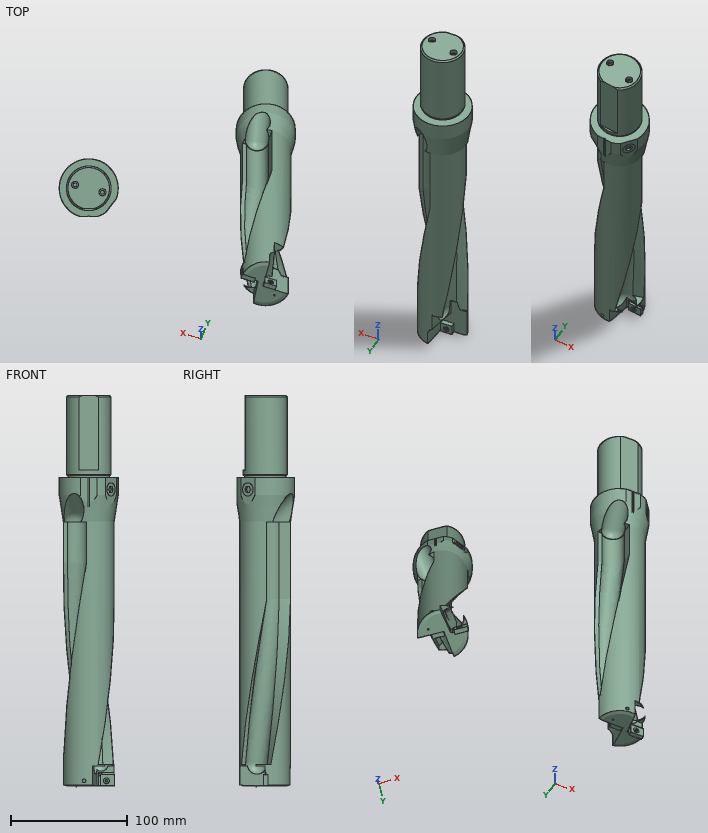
import cadquery as cq
import math


total_length = 335.5
shank_flat_bottom = 271.5
shank_bottom = 266.7
flange_top = 265.5
flange_bottom = 250.0
cone_bottom = 227.0
tip_face = 1.0

shank_radius = 19.0
neck_radius = 17.8
flange_radius = 50.5 / 2
body_radius = 21.8
shank_top_chamfer = 1.5
shank_bottom_chamfer = 1.0
tip_chamfer_width = 3.5
tip_chamfer_height = 1.0
point_place = (-10.7, -7.7)
point_radius = 0.7

shank_flat_distance = 17.0
flange_flat_depth = 1.0
flange_flat_distance = flange_radius - flange_flat_depth
plug_flat_distance = 24.0
plug_flat_angle = -38.0
groove_width = 1.5
groove_floor_distance = 23.8

flute_centre = (-10.7, -7.7)
flute_radius = 9.7
flute_wall_y = -1.5
flute_wall_x = -2.0
left_flute_turn = 0.4472
left_helix_top = 192.2
left_helix_bottom = 29.2
right_flute_turn = 0.5068
right_helix_top = 161.0
right_helix_bottom = 19.5
run_out_direction = (-0.3, -1.2, 1)
run_out_radius = 10.0
run_out_length = 40.3

coolant_mouth_radius = 3.0
coolant_mouth_depth = 3.5
coolant_radius = 1.7
coolant_depth = 67.0
coolant_points = [(-11.7, 3.0), (11.7, -3.5)]

plug_radius = 5.7
plug_length = 6.7
plug_height = 255.0
plug_hex_size = 6.0
plug_hex_depth = 2.0

insert_thickness = 4.0
insert_top = 10.7
insert_seat_y = 2.5
screw_height = 5.5
screw_head_radius = 2.5
screw_head_length = 2.5
screw_shank_radius = 1.5
screw_length = 10.0
screw_socket_radius = 1.0
screw_socket_depth = 1.5

outer_insert_left = 10.0
outer_insert_right = 22.0
outer_screw_x = 15.0
outer_pocket_top = 18.0
outer_pocket_wall_x = 7.0
outer_pocket_edge_x = 3.5
outer_seat_gap = 1.7
relief_radius = 1.5

inner_insert_left = -9.5
inner_insert_right = 1.5
inner_screw_x = -4.0
inner_pocket_top = 22.0
inner_clearance_wall_x = -6.7
inner_clearance_edge_x = 0.0
inner_clearance_top = 37.0
inner_pocket_wall_x = 1.7
inner_pocket_edge_x = 4.5
inner_pocket_fillet = 9.5

reach = 2 * flange_radius


def box(x_range, y_range, z_range):
    sizes = [high - low for low, high in (x_range, y_range, z_range)]
    return cq.Workplane("XY").box(*sizes, centered=False).translate((x_range[0], y_range[0], z_range[0]))


def cylinder_along_y(x, z, radius, y_start, y_end):
    return cq.Workplane(
        cq.Solid.makeCylinder(radius, abs(y_end - y_start), cq.Vector(x, y_start, z),
                              cq.Vector(0, math.copysign(1, y_end - y_start), 0))
    )


def half_turn(shape):
    return shape.rotate((0, 0, 0), (0, 0, 1), 180)


def turned_blank():
    return (
        cq.Workplane("XZ")
        .moveTo(0, tip_face)
        .lineTo(body_radius - tip_chamfer_width, tip_face)
        .lineTo(body_radius, tip_face + tip_chamfer_height)
        .lineTo(body_radius, cone_bottom)
        .lineTo(flange_radius, flange_bottom)
        .lineTo(flange_radius, flange_top)
        .lineTo(neck_radius, flange_top)
        .lineTo(neck_radius, shank_bottom)
        .lineTo(shank_radius - shank_bottom_chamfer, shank_bottom)
        .lineTo(shank_radius, shank_bottom + shank_bottom_chamfer)
        .lineTo(shank_radius, total_length - shank_top_chamfer)
        .lineTo(shank_radius - shank_top_chamfer, total_length)
        .lineTo(0, total_length)
        .close()
        .revolve(360, (0, 0, 0), (0, 1, 0))
    )


def end_point():
    return cq.Workplane(
        cq.Solid.makeCone(0, point_radius, tip_face, cq.Vector(*point_place, 0), cq.Vector(0, 0, 1))
    )


def flats():
    shank_flat = box((-reach, reach), (-reach, -shank_flat_distance), (shank_flat_bottom, total_length))
    flange_flat = box((-reach, reach), (-reach, -flange_flat_distance), (cone_bottom, flange_top))
    groove = box((-groove_width / 2, groove_width / 2), (-reach, -groove_floor_distance),
                 (cone_bottom, flange_top))
    plug_flat = box((plug_flat_distance, reach), (-reach, reach), (cone_bottom, flange_top))
    plug_flat = plug_flat.rotate((0, 0, 0), (0, 0, 1), plug_flat_angle)
    return [shank_flat, flange_flat, groove, plug_flat]


def coolant_holes():
    points = cq.Workplane("XY", origin=(0, 0, total_length)).pushPoints(coolant_points)
    mouths = points.circle(coolant_mouth_radius).extrude(-coolant_mouth_depth)
    bores = points.circle(coolant_radius).extrude(-coolant_depth)
    return [mouths, bores]


def flute_section():
    centre_x, centre_y = flute_centre
    arc_start_x = centre_x - math.sqrt(flute_radius**2 - (flute_wall_y - centre_y) ** 2)
    arc_end_y = centre_y - math.sqrt(flute_radius**2 - (flute_wall_x - centre_x) ** 2)
    arc_middle = flute_radius / math.sqrt(2)
    return (
        cq.Workplane("XY")
        .moveTo(-reach, flute_wall_y)
        .lineTo(arc_start_x, flute_wall_y)
        .threePointArc((centre_x + arc_middle, centre_y + arc_middle), (flute_wall_x, arc_end_y))
        .lineTo(flute_wall_x, -reach)
        .lineTo(-reach, -reach)
        .close()
    )


def flute_run_out():
    """Slanting round groove that leads the top of a flute out through the cone."""
    start = (*flute_centre, cone_bottom)
    ball = cq.Workplane("XY").sphere(run_out_radius).translate(start)
    axis = cq.Vector(*run_out_direction)
    groove = cq.Workplane(cq.Solid.makeCylinder(run_out_radius, run_out_length, cq.Vector(*start), axis))
    above_cone_bottom = box((-reach, reach), (-reach, reach), (cone_bottom, flange_top))
    return ball.union(groove).intersect(above_cone_bottom)


def flute(helix_top, helix_bottom, turn_per_unit):
    twist = turn_per_unit * (helix_top - helix_bottom)
    straight = flute_section().extrude(cone_bottom - helix_top).translate((0, 0, helix_top))
    helix = (
        flute_section()
        .twistExtrude(helix_top - helix_bottom, twist)
        .rotate((0, 0, 0), (0, 0, 1), -twist)
        .translate((0, 0, helix_bottom))
    )
    ball_end = (
        cq.Workplane("XY")
        .sphere(flute_radius)
        .translate((*flute_centre, 0))
        .rotate((0, 0, 0), (0, 0, 1), -twist)
        .translate((0, 0, helix_bottom))
    )
    return [straight, helix, ball_end, flute_run_out()]


def pocket(wall_x, edge_x, floor_y, top):
    """Pocket open to +X and -Y; its slanting inner wall meets the body outline at about edge_x."""
    slant = (edge_x - wall_x) / (body_radius + floor_y)
    outer_x = wall_x + slant * (reach + floor_y)
    return (
        cq.Workplane("XY")
        .moveTo(wall_x, floor_y)
        .lineTo(outer_x, -reach)
        .lineTo(reach, -reach)
        .lineTo(reach, floor_y)
        .close()
        .extrude(top)
    )


def outer_pocket():
    clearance = pocket(outer_pocket_wall_x, outer_pocket_edge_x, 0, outer_pocket_top)
    seat = box((outer_insert_left, reach), (-reach, insert_seat_y), (0, insert_top))
    gap = box((outer_insert_left - outer_seat_gap, reach), (-reach, insert_seat_y - insert_thickness / 2),
              (0, insert_top + outer_seat_gap))
    relief = cylinder_along_y(outer_insert_left, insert_top, relief_radius, -reach, insert_seat_y)
    return [clearance, seat, gap, relief]


def inner_pocket():
    cut = pocket(-inner_pocket_wall_x, -inner_pocket_edge_x, insert_seat_y, inner_pocket_top)
    cut = cut.faces(">Z").edges("<X").fillet(inner_pocket_fillet)
    clearance = pocket(-inner_clearance_wall_x, -inner_clearance_edge_x, insert_seat_y, inner_clearance_top)
    return [half_turn(cut), half_turn(clearance)]


def insert(left, right, screw_x):
    face_y = insert_seat_y - insert_thickness
    plate = box((left, right), (face_y, insert_seat_y), (tip_face, insert_top))
    head_hole = cylinder_along_y(screw_x, screw_height, screw_head_radius, face_y, face_y + screw_head_length)
    shank_hole = cylinder_along_y(screw_x, screw_height, screw_shank_radius, face_y, insert_seat_y)
    return plate.cut(head_hole).cut(shank_hole)


def insert_screw(screw_x):
    face_y = insert_seat_y - insert_thickness
    head = cylinder_along_y(screw_x, screw_height, screw_head_radius, face_y, face_y + screw_head_length)
    shank = cylinder_along_y(screw_x, screw_height, screw_shank_radius, face_y, face_y + screw_length)
    socket = cylinder_along_y(screw_x, screw_height, screw_socket_radius, face_y, face_y + screw_socket_depth)
    return head.union(shank).cut(socket)


def plug_plane():
    angle = math.radians(plug_flat_angle)
    outward = (math.cos(angle), math.sin(angle), 0)
    centre = tuple(plug_flat_distance * part for part in outward[:2]) + (plug_height,)
    return cq.Plane(origin=centre, xDir=(-outward[1], outward[0], 0), normal=outward)


def plug_blank():
    return cq.Workplane(plug_plane()).circle(plug_radius).extrude(-plug_length)


def drill_body():
    body = turned_blank().union(end_point())
    for cut in flats() + coolant_holes():
        body = body.cut(cut)
    for cut in flute(left_helix_top, left_helix_bottom, left_flute_turn):
        body = body.cut(cut)
    for cut in flute(right_helix_top, right_helix_bottom, right_flute_turn):
        body = body.cut(half_turn(cut))
    for cut in outer_pocket() + inner_pocket():
        body = body.cut(cut)
    outer_screw_hole = cylinder_along_y(outer_screw_x, screw_height, screw_shank_radius,
                                        insert_seat_y, insert_seat_y - insert_thickness + screw_length)
    inner_screw_hole = cylinder_along_y(inner_screw_x, screw_height, screw_shank_radius,
                                        insert_seat_y, -reach)
    return body.cut(outer_screw_hole).cut(inner_screw_hole).cut(plug_blank())


body = drill_body()
outer_insert = insert(outer_insert_left, outer_insert_right, outer_screw_x)
inner_insert = half_turn(insert(-inner_insert_right, -inner_insert_left, -inner_screw_x))
outer_screw = insert_screw(outer_screw_x)
inner_screw = half_turn(insert_screw(-inner_screw_x))
plug = plug_blank().cut(cq.Workplane(plug_plane()).polygon(6, plug_hex_size).extrude(-plug_hex_depth))

result = cq.Compound.makeCompound([
    body.val(),
    outer_insert.val(),
    inner_insert.val(),
    outer_screw.val(),
    inner_screw.val(),
    plug.val(),
])